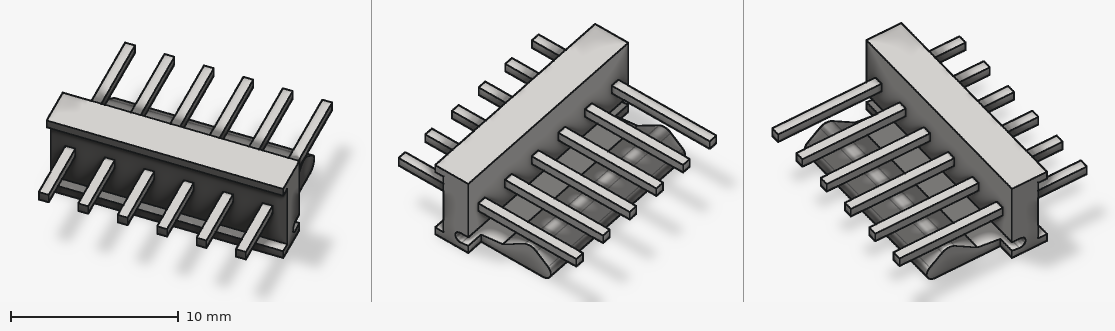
import cadquery as cq
import math


length = 15.24
pin_count = 6
pitch = length / pin_count
housing_depth = pitch
height = 5.84
lip_depth = 0.64
lip_height = 0.58

pin_size = 0.64
pin_height = 3.14
pin_total_length = 13.6
pin_rear_length = 7.5

slot_radius = 0.4
slot_center = (-0.6, 0.93)

latch_width = 12.8
tip_radius = 0.62
latch_reach = 5.33
tip_center = (latch_reach - tip_radius, tip_radius)
crest_radius = 0.78
crest_center = (3.72, 1.25)
valley = (1.66, 0.84)


def on_circle(center, radius, angle):
    """Point at an angle from +Y on a circle in the YZ plane."""
    return (center[0] + radius * math.cos(angle), center[1] + radius * math.sin(angle))


def direction_and_distance(start, end):
    """Angle from +Y and length of the line between two points in the YZ plane."""
    dy = end[0] - start[0]
    dz = end[1] - start[1]
    return math.atan2(dz, dy), math.hypot(dy, dz)


def extrude_along_x(profile, width):
    """Extrude a YZ profile evenly to both sides of X = 0."""
    return profile.close().extrude(width / 2, both=True)


floor_angle, floor_distance = direction_and_distance(slot_center, valley)
floor_normal = floor_angle - math.acos(slot_radius / floor_distance)
slot_bottom = on_circle(slot_center, slot_radius, floor_normal)
floor_slope = (valley[1] - slot_bottom[1]) / (valley[0] - slot_bottom[0])
floor_at_wall = (0, valley[1] - floor_slope * valley[0])


def make_housing():
    housing = cq.Workplane("XY").box(length, housing_depth, height, centered=(True, False, False))
    housing = housing.translate((0, -housing_depth, 0))
    recess = cq.Workplane("XY").box(
        length, lip_depth, height - 2 * lip_height, centered=(True, False, False)
    )
    recess = recess.translate((0, -housing_depth, lip_height))
    slot_top = slot_center[1] + slot_radius
    slot = (
        cq.Workplane("YZ")
        .moveTo(*floor_at_wall)
        .lineTo(*slot_bottom)
        .threePointArc((slot_center[0] - slot_radius, slot_center[1]), (slot_center[0], slot_top))
        .lineTo(0, slot_top)
    )
    return housing.cut(recess).cut(extrude_along_x(slot, length))


def make_latch():
    valley_angle, valley_distance = direction_and_distance(crest_center, valley)
    front_angle = valley_angle - math.acos(crest_radius / valley_distance)
    axis_angle, axis_distance = direction_and_distance(crest_center, tip_center)
    back_angle = axis_angle + math.acos((crest_radius - tip_radius) / axis_distance)
    profile = (
        cq.Workplane("YZ")
        .lineTo(*floor_at_wall)
        .lineTo(*valley)
        .lineTo(*on_circle(crest_center, crest_radius, front_angle))
        .threePointArc(
            on_circle(crest_center, crest_radius, math.pi / 2),
            on_circle(crest_center, crest_radius, back_angle),
        )
        .lineTo(*on_circle(tip_center, tip_radius, back_angle))
        .threePointArc((latch_reach, tip_center[1]), (tip_center[0], 0))
    )
    return extrude_along_x(profile, latch_width)


def make_pins():
    pin_middle = pin_rear_length - pin_total_length / 2
    first_pin = -(pin_count - 1) * pitch / 2
    centers = [(first_pin + i * pitch, pin_middle) for i in range(pin_count)]
    return (
        cq.Workplane("XY")
        .pushPoints(centers)
        .box(pin_size, pin_total_length, pin_size)
        .translate((0, 0, pin_height))
    )


result = make_housing().union(make_latch()).union(make_pins())